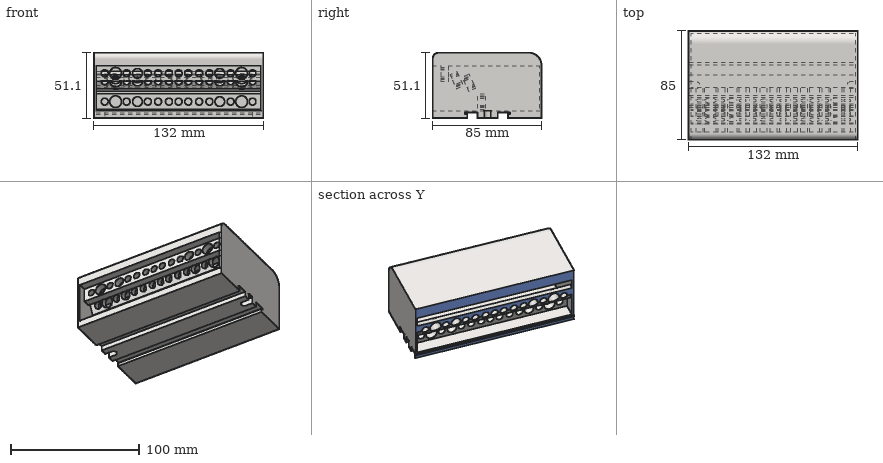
import cadquery as cq

LENGTH = 132.0
DEPTH = 85.0
HEIGHT = 51.1
FRONT_RADIUS = 4.9
BACK_RADIUS = 10.0
FRONT_Y = -DEPTH / 2

WALL = 2.0
FLOOR = 6.0
POCKET_HEIGHT = 35.0
POCKET_LENGTH = LENGTH - 2 * WALL
POCKET_DEPTH = DEPTH - WALL
POCKET_TOP = FLOOR + POCKET_HEIGHT

BAR_HEIGHT = 12.0
BAR_THICKNESS = 6.0
BAR_TILT = 25.0
BAR_SETBACK = 6.5
BAR_PITCH = 9.5
LOWER_BAR_GAP = 0.9
UPPER_TILTED_Z = 28.5
TILTED_BAR_DROP = 2.0
WALL_OVERLAP = 0.3

BARS = [
    (POCKET_TOP - BAR_HEIGHT / 2, 0.0),
    (UPPER_TILTED_Z, BAR_TILT),
    (UPPER_TILTED_Z - TILTED_BAR_DROP, BAR_TILT),
    (FLOOR + LOWER_BAR_GAP + BAR_HEIGHT / 2, 0.0),
]

SMALL_HOLE = 5.4
MEDIUM_HOLE = 7.5
LARGE_HOLE = 9.1
HOLES = [
    (0.0, SMALL_HOLE),
    (7.5, SMALL_HOLE),
    (16.0, SMALL_HOLE),
    (24.0, SMALL_HOLE),
    (32.1, MEDIUM_HOLE),
    (40.5, SMALL_HOLE),
    (49.1, LARGE_HOLE),
    (57.5, SMALL_HOLE),
]

RAIL_Y = 0.4
GROOVE_INNER = 8.0
GROOVE_OUTER = 15.8
GROOVE_HOOK = 17.4
GROOVE_HEIGHT = 4.2
HOOK_Z = 3.2
SLOT_RADIUS = 2.6
SLOT_STRAIGHT = 6.0


def make_housing():
    block = cq.Workplane("XY").box(LENGTH, DEPTH, HEIGHT, centered=(True, True, False))
    block = block.edges(">Z and <Y").fillet(FRONT_RADIUS)
    block = block.edges(">Z and >Y").fillet(BACK_RADIUS)
    pocket = (
        cq.Workplane("XY")
        .box(POCKET_LENGTH, POCKET_DEPTH, POCKET_HEIGHT, centered=(True, False, False))
        .translate((0, FRONT_Y, FLOOR))
    )
    return block.cut(pocket)


def make_bar(face_y, face_z, tilt):
    """Drilled bar whose front-face centre is at (face_y, face_z), leaning to face downward."""
    bar = cq.Workplane("XY").box(
        POCKET_LENGTH + 2 * WALL_OVERLAP, BAR_THICKNESS, BAR_HEIGHT, centered=(True, False, True)
    )
    for offset, diameter in HOLES:
        for x in {-offset, offset}:
            drill = cq.Workplane("XZ", origin=(x, 0, 0)).circle(diameter / 2).extrude(-BAR_THICKNESS)
            bar = bar.cut(drill)
    return bar.rotate((0, 0, 0), (1, 0, 0), tilt).translate((0, face_y, face_z))


def make_rail_groove(side):
    """Groove along X with a hooked outer edge; side is +1 or -1 along Y."""
    outline = [
        (GROOVE_INNER, 0),
        (GROOVE_OUTER, 0),
        (GROOVE_OUTER, HOOK_Z),
        (GROOVE_HOOK, HOOK_Z),
        (GROOVE_HOOK, GROOVE_HEIGHT),
        (GROOVE_INNER, GROOVE_HEIGHT),
    ]
    points = [(RAIL_Y + side * y, z) for y, z in outline]
    return cq.Workplane("YZ").polyline(points).close().extrude(LENGTH / 2, both=True)


def make_screw_slot(side):
    """Round-ended slot through the floor, open at one end; side is +1 or -1 along X."""
    straight = (
        cq.Workplane("XY")
        .center(side * (LENGTH - SLOT_STRAIGHT) / 2, RAIL_Y)
        .rect(SLOT_STRAIGHT, 2 * SLOT_RADIUS)
        .extrude(FLOOR)
    )
    round_end = (
        cq.Workplane("XY")
        .center(side * (LENGTH / 2 - SLOT_STRAIGHT), RAIL_Y)
        .circle(SLOT_RADIUS)
        .extrude(FLOOR)
    )
    return straight.union(round_end)


result = make_housing()
for row, (bar_z, bar_tilt) in enumerate(BARS):
    bar_y = FRONT_Y + BAR_SETBACK + row * BAR_PITCH
    result = result.union(make_bar(bar_y, bar_z, bar_tilt))
for direction in (-1, 1):
    result = result.cut(make_rail_groove(direction))
    result = result.cut(make_screw_slot(direction))